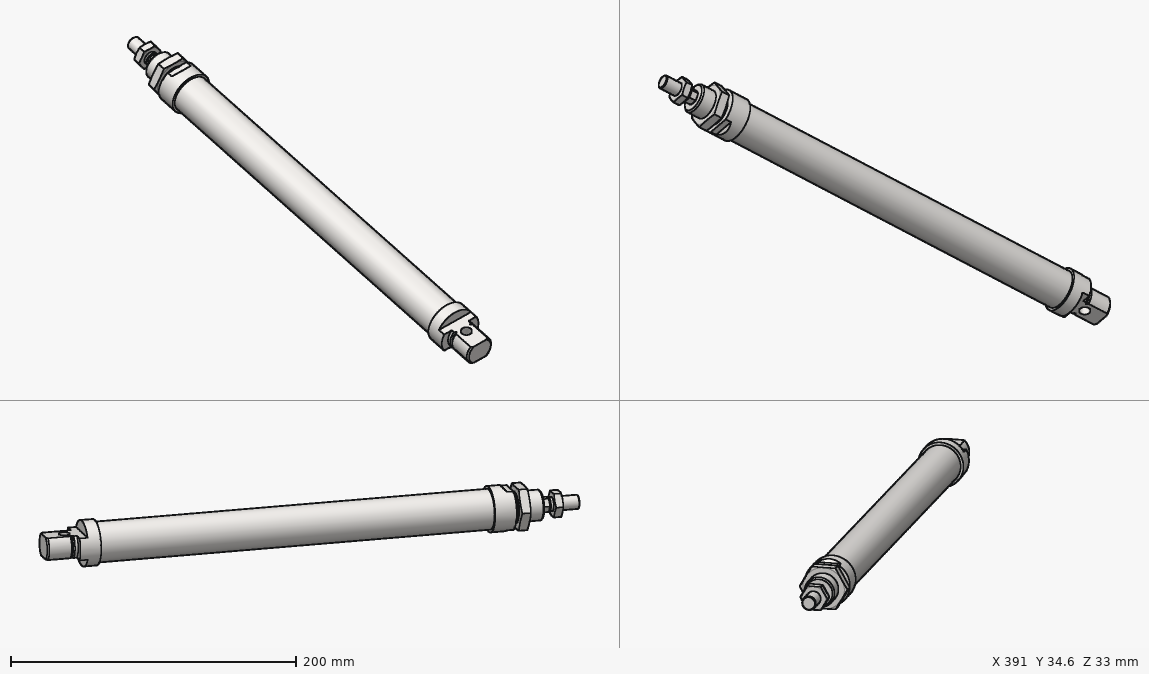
import cadquery as cq
import math

total_length = 391.0
rod_nut_start = 13.3
rod_nut_thickness = 6.0
rod_thread_end = 21.0
hex_start = 22.0
neck_start = 27.5
mount_nut_start = 39.0
mount_nut_thickness = 7.0
front_cap_start = 49.5
tube_start = 65.3
tube_end = 353.5
rear_flat_start = 363.0
rear_cap_end = 368.7
pivot_hole_x = 375.8
wrench_flat_end = 54.5
wrench_ramp_end = 56.3

rod_diameter = 10.0
rod_relief_diameter = 8.5
rod_hex_across_flats = 9.8
rod_nut_across_flats = 17.2
mount_nut_across_flats = 30.0
thread_diameter = 22.0
groove_diameter = 20.0
cap_diameter = 33.0
tube_diameter = 29.0
wrench_flat_height = 14.0
tongue_thickness = 16.0
pivot_hole_diameter = 8.0

rod_tip_chamfer = 0.6
thread_chamfer = 1.0
nut_chamfer_depth = 0.5
collar_width = 2.5
groove_width = 2.5

hex_corner_ratio = 1 / math.cos(math.pi / 6)

tip_x = -total_length / 2
groove_depth = (thread_diameter - groove_diameter) / 2


def cylinder(start, end, diameter):
    """Cylinder on the X axis between two distances from the rod tip."""
    plane = cq.Workplane("YZ", origin=(tip_x + start, 0, 0))
    return plane.circle(diameter / 2).extrude(end - start)


def hexagon(start, end, across_flats):
    """Hexagonal bar on the X axis with two flats facing +Z and -Z."""
    plane = cq.Workplane("YZ", origin=(tip_x + start, 0, 0))
    return plane.polygon(6, across_flats * hex_corner_ratio).extrude(end - start)


def turned(points):
    """Solid of revolution about the X axis from (distance from rod tip, radius) points."""
    profile = cq.Workplane("XY").polyline([(tip_x + x, radius) for x, radius in points]).close()
    return profile.revolve(360, (0, 0, 0), (1, 0, 0))


def hex_nut(start, thickness, across_flats, bore):
    """Hexagonal nut whose corners are coned off at both ends."""
    end = start + thickness
    flat_radius = across_flats / 2
    corner_radius = flat_radius * hex_corner_ratio
    envelope = turned([
        (start, 0),
        (start, flat_radius),
        (start + nut_chamfer_depth, corner_radius),
        (end - nut_chamfer_depth, corner_radius),
        (end, flat_radius),
        (end, 0),
    ])
    return hexagon(start, end, across_flats).intersect(envelope).cut(cylinder(start, end, bore))


def runout_groove(start):
    """Ring that cuts a groove with 45 degree walls into the mounting thread."""
    end = start + groove_width
    return turned([
        (start, thread_diameter / 2),
        (start + groove_depth, groove_diameter / 2),
        (end - groove_depth, groove_diameter / 2),
        (end, thread_diameter / 2),
    ])


def make_rod():
    tip = cylinder(0, rod_thread_end, rod_diameter).faces("<X").chamfer(rod_tip_chamfer)
    relief = cylinder(rod_thread_end, hex_start, rod_relief_diameter)
    wrench_hex = hexagon(hex_start, neck_start, rod_hex_across_flats)
    shank = cylinder(neck_start, tube_start, rod_diameter)
    return tip.union(relief).union(wrench_hex).union(shank)


def wrench_flat_cutter():
    """Prism that mills a flat with a ramped end into the top of the front cap."""
    top = cap_diameter / 2
    return (
        cq.Workplane("XZ")
        .moveTo(tip_x + front_cap_start, wrench_flat_height)
        .lineTo(tip_x + wrench_flat_end, wrench_flat_height)
        .lineTo(tip_x + wrench_ramp_end, top)
        .lineTo(tip_x + front_cap_start, top)
        .close()
        .extrude(cap_diameter / 2, both=True)
    )


def make_front_cap():
    neck = cylinder(neck_start, front_cap_start, thread_diameter).faces("<X").chamfer(thread_chamfer)
    neck = neck.cut(runout_groove(front_cap_start - collar_width - groove_width))
    flat_cutter = wrench_flat_cutter()
    head = cylinder(front_cap_start, tube_start, cap_diameter)
    head = head.cut(flat_cutter).cut(flat_cutter.mirror("XY"))
    rod_bore = cylinder(neck_start, tube_start, rod_diameter)
    return neck.union(head).cut(rod_bore)


def make_rear_cap():
    base = cylinder(tube_end, rear_flat_start, cap_diameter)
    shoulder = cylinder(rear_flat_start, rear_cap_end, cap_diameter)
    tail = cylinder(rear_cap_end, total_length, thread_diameter).faces(">X").chamfer(thread_chamfer)
    tail = tail.cut(runout_groove(rear_cap_end + collar_width))
    slab = cq.Workplane("XY").box(total_length, cap_diameter, tongue_thickness)
    tongue = shoulder.union(tail).intersect(slab)
    pivot_hole = (
        cq.Workplane("XY")
        .center(tip_x + pivot_hole_x, 0)
        .circle(pivot_hole_diameter / 2)
        .extrude(tongue_thickness, both=True)
    )
    return base.union(tongue).cut(pivot_hole)


rod = make_rod()
rod_nut = hex_nut(rod_nut_start, rod_nut_thickness, rod_nut_across_flats, rod_diameter)
front_cap = make_front_cap()
mount_nut = hex_nut(mount_nut_start, mount_nut_thickness, mount_nut_across_flats, thread_diameter)
tube = cylinder(tube_start, tube_end, tube_diameter)
rear_cap = make_rear_cap()

result = cq.Compound.makeCompound([
    rod.val(),
    rod_nut.val(),
    front_cap.val(),
    mount_nut.val(),
    tube.val(),
    rear_cap.val(),
])